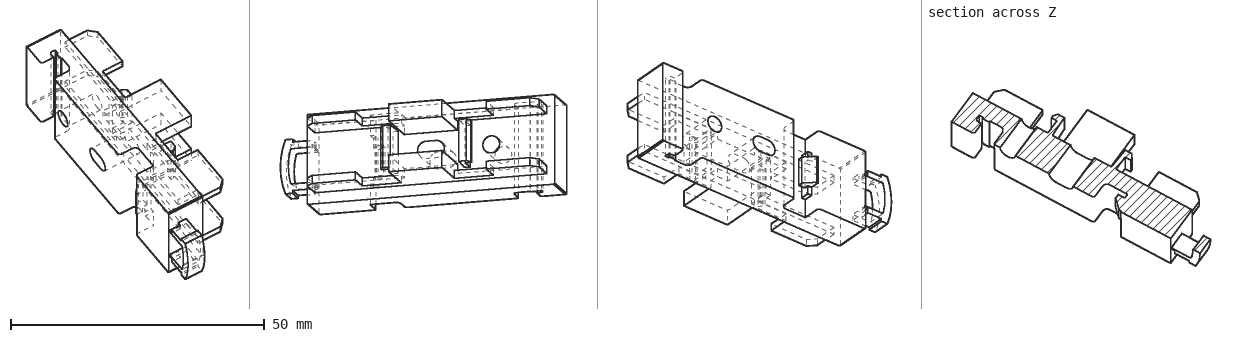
import cadquery as cq
import math

BODY_LENGTH = 51.15
BODY_DEPTH = 8.0
BODY_HEIGHT = 18.4
BODY_CENTER_X = BODY_LENGTH / 2
END_BEVEL_X = 0.3
END_BEVEL_Z = 0.2

RECESS_DEPTH = 4.15
FIXED_RECESS_START = 3.95
FIXED_RECESS_END = 9.85
SPRING_RECESS_START = 33.25
SPRING_RECESS_END = 39.3
RECESS_INNER_FILLET = 1.05
RECESS_MOUTH_FILLET = 0.5
LIP_END = 5.3
LIP_HEIGHT = 2.9
LIP_ROOT_FILLET = 0.5
RIB_START = 4.8
RIB_END = 6.35
RIB_DEPTH = 0.3

HOLE_DIAMETER = 3.5
HOLE_X = 13.15
SLOT_LENGTH = 5.5

PLATE_OUTER_Z = 6.95
PLATE_THICKNESS = 1.6
PLATE_LENGTH = 47.85
WING_LENGTH = 10.4
WING_TOP = 14.75
WING_CHAMFER = 1.5
LINK_TOP = 10.05
BLOCK_LENGTH = 11.0
BLOCK_TOP = 18.5
BLOCK_THICKNESS = 3.5

HOOK_CENTER_X = 25.45
HOOK_WIDTH = 8.55
HOOK_TOP = 12.75
HOOK_ROOT_INNER = 6.8
HOOK_TOP_INNER = 7.05
HOOK_STEM_OUTER = 8.0
HOOK_TOP_OUTER = 8.6
HOOK_NOSE = 9.25
HOOK_NOSE_BOTTOM = 11.2
HOOK_NOSE_TOP = 11.85

SLIDE_BOTTOM = 0.2
SLIDE_TOP = 4.1
SLIDE_HALF_WIDTH = 5.0
SLIDE_TONGUE_START = 38.35
SLIDE_STEP = 2.2
PAWL_START = 36.85
PAWL_HEEL = 38.95
PAWL_TOP = 3.25
PAWL_WIDTH = 6.15
PAWL_EMBED = 2.3
HANDLE_END = 57.85
HANDLE_OUTER_RADIUS = 15.35
HANDLE_WALL = 1.7
HANDLE_GRIP_START = 55.3
HANDLE_GRIP_HALF_WIDTH = 5.55
HANDLE_OPENING_HALF_WIDTH = 3.6
HANDLE_OPENING_FILLET = 0.35
LEG_NOTCH_END = 51.9
LEG_NOTCH_INNER_Z = 3.95


def box(x0, x1, y0, y1, z0, z1):
    """Box given by its limits along the three axes."""
    return cq.Workplane("XY").box(x1 - x0, y1 - y0, z1 - z0, centered=False).translate((x0, y0, z0))


def recess_cutter(x0, x1):
    """Channel through the full height, open at the rail face."""
    return box(x0, x1, 0, RECESS_DEPTH, -BODY_HEIGHT / 2, BODY_HEIGHT / 2)


def fillet_edge(solid, x, y, radius):
    """Round the full-height edge that stands at (x, y)."""
    reach = 0.03
    selector = cq.selectors.BoxSelector((x - reach, y - reach, -reach), (x + reach, y + reach, reach))
    return solid.edges("|Z").edges(selector).fillet(radius)


def make_body():
    half_height = BODY_HEIGHT / 2
    side_height = half_height - END_BEVEL_Z
    outline = [
        (0, -side_height),
        (END_BEVEL_X, -half_height),
        (BODY_LENGTH - END_BEVEL_X, -half_height),
        (BODY_LENGTH, -side_height),
        (BODY_LENGTH, side_height),
        (BODY_LENGTH - END_BEVEL_X, half_height),
        (END_BEVEL_X, half_height),
        (0, side_height),
    ]
    body = cq.Workplane("XZ").polyline(outline).close().extrude(-BODY_DEPTH)
    body = body.cut(recess_cutter(FIXED_RECESS_START, FIXED_RECESS_END))
    body = body.cut(recess_cutter(SPRING_RECESS_START, SPRING_RECESS_END))
    lip = box(FIXED_RECESS_START, LIP_END, 0, LIP_HEIGHT, -half_height, half_height)
    rib = box(RIB_START, RIB_END, RECESS_DEPTH - RIB_DEPTH, RECESS_DEPTH, -half_height, half_height)
    body = body.union(lip).union(rib).clean()
    body = fillet_edge(body, FIXED_RECESS_START, LIP_HEIGHT, LIP_ROOT_FILLET)
    for x in (FIXED_RECESS_END, SPRING_RECESS_START):
        body = fillet_edge(body, x, RECESS_DEPTH, RECESS_INNER_FILLET)
    for x in (LIP_END, FIXED_RECESS_END, SPRING_RECESS_START, SPRING_RECESS_END):
        body = fillet_edge(body, x, 0, RECESS_MOUTH_FILLET)
    return body


def cut_mounting_holes(body):
    """Round hole and slot through the body along Y."""
    face = cq.Workplane("XZ")
    hole = face.center(HOLE_X, 0).circle(HOLE_DIAMETER / 2).extrude(-BODY_DEPTH)
    slot = face.center(BODY_CENTER_X, 0).slot2D(SLOT_LENGTH, HOLE_DIAMETER).extrude(-BODY_DEPTH)
    return body.cut(hole).cut(slot)


def make_upper_plate():
    """Thin plate with two chamfered wings, and a thicker block in its middle."""
    x0 = BODY_CENTER_X - PLATE_LENGTH / 2
    x1 = BODY_CENTER_X + PLATE_LENGTH / 2
    outline = [
        (x0, BODY_DEPTH),
        (x0, WING_TOP - WING_CHAMFER),
        (x0 + WING_CHAMFER, WING_TOP),
        (x0 + WING_LENGTH, WING_TOP),
        (x0 + WING_LENGTH, LINK_TOP),
        (x1 - WING_LENGTH, LINK_TOP),
        (x1 - WING_LENGTH, WING_TOP),
        (x1 - WING_CHAMFER, WING_TOP),
        (x1, WING_TOP - WING_CHAMFER),
        (x1, BODY_DEPTH),
    ]
    plate_bottom = PLATE_OUTER_Z - PLATE_THICKNESS
    plate_plane = cq.Workplane("XY", origin=(0, 0, plate_bottom))
    plate = plate_plane.polyline(outline).close().extrude(PLATE_THICKNESS)
    block = box(
        BODY_CENTER_X - BLOCK_LENGTH / 2, BODY_CENTER_X + BLOCK_LENGTH / 2,
        BODY_DEPTH, BLOCK_TOP,
        PLATE_OUTER_Z - BLOCK_THICKNESS, PLATE_OUTER_Z,
    )
    return plate.union(block)


def make_hook(side):
    """Snap hook whose nose points away from the middle; side is -1 or +1 along X."""
    profile = [
        (HOOK_ROOT_INNER, BODY_DEPTH),
        (HOOK_STEM_OUTER, BODY_DEPTH),
        (HOOK_STEM_OUTER, HOOK_NOSE_BOTTOM),
        (HOOK_NOSE, HOOK_NOSE_BOTTOM),
        (HOOK_NOSE, HOOK_NOSE_TOP),
        (HOOK_TOP_OUTER, HOOK_TOP),
        (HOOK_TOP_INNER, HOOK_TOP),
    ]
    points = [(HOOK_CENTER_X + side * offset, y) for offset, y in profile]
    return cq.Workplane("XY").polyline(points).close().extrude(HOOK_WIDTH / 2, both=True)


def make_pawl():
    """Wedge that latches under the rail flange, with the slide tongue behind it."""
    root = SPRING_RECESS_END + PAWL_EMBED
    profile = [
        (PAWL_START, SLIDE_STEP),
        (PAWL_START, PAWL_TOP),
        (root, PAWL_TOP),
        (root, SLIDE_BOTTOM),
        (PAWL_HEEL, SLIDE_BOTTOM),
    ]
    wedge = cq.Workplane("XY").polyline(profile).close().extrude(PAWL_WIDTH / 2, both=True)
    tongue = box(SLIDE_TONGUE_START, root, SLIDE_STEP, RECESS_DEPTH, -SLIDE_HALF_WIDTH, SLIDE_HALF_WIDTH)
    return wedge.union(tongue)


def make_handle():
    """Pull loop with two legs and a curved grip."""
    arc_center = HANDLE_END - HANDLE_OUTER_RADIUS
    inner_radius = HANDLE_OUTER_RADIUS - HANDLE_WALL
    grip = HANDLE_GRIP_HALF_WIDTH
    opening = HANDLE_OPENING_HALF_WIDTH
    grip_end = arc_center + math.sqrt(HANDLE_OUTER_RADIUS**2 - grip**2)
    opening_end = arc_center + math.sqrt(inner_radius**2 - opening**2)

    plane = cq.Workplane("XZ", origin=(0, SLIDE_BOTTOM, 0))
    thickness = SLIDE_TOP - SLIDE_BOTTOM
    outer = (
        plane.moveTo(BODY_LENGTH, -SLIDE_HALF_WIDTH)
        .lineTo(HANDLE_GRIP_START, -SLIDE_HALF_WIDTH)
        .lineTo(HANDLE_GRIP_START, -grip)
        .lineTo(grip_end, -grip)
        .threePointArc((HANDLE_END, 0), (grip_end, grip))
        .lineTo(HANDLE_GRIP_START, grip)
        .lineTo(HANDLE_GRIP_START, SLIDE_HALF_WIDTH)
        .lineTo(BODY_LENGTH, SLIDE_HALF_WIDTH)
        .close()
        .extrude(-thickness)
    )
    inner = (
        plane.moveTo(BODY_LENGTH, -opening)
        .lineTo(opening_end, -opening)
        .threePointArc((HANDLE_END - HANDLE_WALL, 0), (opening_end, opening))
        .lineTo(BODY_LENGTH, opening)
        .close()
        .extrude(-thickness)
        .edges("|Y and (not <X)")
        .fillet(HANDLE_OPENING_FILLET)
    )
    handle = outer.cut(inner)

    for side in (-1, 1):
        z0, z1 = sorted((side * LEG_NOTCH_INNER_Z, side * SLIDE_HALF_WIDTH))
        handle = handle.cut(box(BODY_LENGTH, LEG_NOTCH_END, SLIDE_BOTTOM, SLIDE_STEP, z0, z1))
    return handle


result = cut_mounting_holes(make_body())
upper_plate = make_upper_plate()
result = result.union(upper_plate).union(upper_plate.mirror("XY"))
for hook_side in (-1, 1):
    result = result.union(make_hook(hook_side))
result = result.union(make_pawl()).union(make_handle())